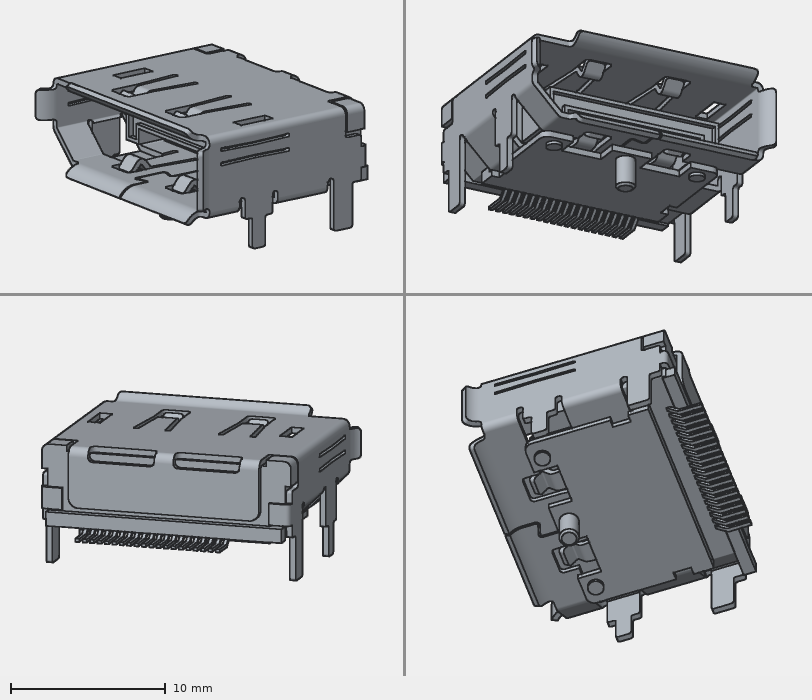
import cadquery as cq
import math


SHEET = 0.4
HALF_WIDTH = 8.45
TOP = 3.81
BOTTOM = -1.72
CORNER_CUT = 2.0
BEND_RADIUS = 0.48
FRONT_TIP = -7.65
WALL_REAR = 5.78
FLOOR_REAR = 3.06
MARGIN = 1.79

INNER_HALF_WIDTH = HALF_WIDTH - SHEET
ROOF_MID = TOP - SHEET / 2
FLOOR_MID = BOTTOM + SHEET / 2
WALL_MID = HALF_WIDTH - SHEET / 2

LIP_RISE = 0.5
LIP_ANGLE = 60.0
LIP_TIP_RADIUS = 0.29
LIP_ROOT_RADIUS = 0.25
LIP_LEFT = -5.58
LIP_RIGHT = 7.5
SIDE_LIP_TOP = 3.08
LEFT_LIP_BOTTOM = 1.04
RIGHT_LIP_BOTTOM = -0.95

LIP_INNER_RADIUS = LIP_RISE / (1 - math.cos(math.radians(LIP_ANGLE)))
LIP_REACH = (LIP_INNER_RADIUS + SHEET) * math.sin(math.radians(LIP_ANGLE))
FRONT = FRONT_TIP + LIP_REACH

SPRING_X = 2.88
SPRING_HALF_WIDTH = 0.66
SPRING_ROOT_HALF_WIDTH = 0.91
SPRING_BEND_Y = -3.18
SPRING_ANGLE = 50.0
SPRING_BEND = 0.29
SPRING_FALL = 0.59
SPRING_CLIMB = 0.8
SPRING_TIP_RADIUS = 0.23
SLOT_END = 0.18
SLOT_HALF_WIDTH = 1.27
SLOT_END_RADIUS = 0.16
WINDOW_HALF_WIDTH = 0.95
WINDOW_FRONT = -5.28
WINDOW_RADIUS = 0.27

ROOF_WINDOW_CENTRES = (-5.98, 7.01)
ROOF_WINDOW_WIDTH = 0.84
ROOF_WINDOW_FRONT = -3.15
ROOF_WINDOW_REAR = -0.6

SLIT_REAR = -0.04
SLIT_FRONT = -5.53
SLIT_WIDTH = 0.21
SLIT_LEAN = 0.05
SLIT_END_RADIUS = 0.09
UPPER_SLIT = 2.85
LOWER_SLIT = 1.86

LEG_BOTTOM = -4.33
LEG_TIP_RADIUS = 0.21
LEG_GAP = 0.43
LEFT_RELIEF_TOP = 0.5
RIGHT_RELIEF_TOP = -0.73
FRONT_LEG = (-3.6, -1.38)
FRONT_LEG_FOOT = (-3.0, -1.95)
LEG_SHOULDER = -2.22
REAR_LEG = (3.55, 5.06)
REAR_SHOULDER = -1.29
SHOULDER_RADIUS = 0.16

SEAM_X = 0.35
SEAM_WIDTH = 0.13
DOVETAIL_DEPTH = 1.11
DOVETAIL_RADIUS = 0.18
DOVETAIL_NECK = (-5.33, -3.5)
DOVETAIL_HEAD = (-5.67, -3.18)

COVER_HALF_WIDTH = 6.45
COVER_REAR = 6.62
COVER_BOTTOM = -0.16
COVER_BEND = 0.59
COVER_TIP_RADIUS = 0.66
NOTCH_INNER = 0.65
NOTCH_OUTER = 5.13
NOTCH_FRONT = 5.7
NOTCH_BOTTOM = 2.95
NOTCH_RADIUS = 0.35

TAB_TOP = 1.0
TAB_BOTTOM = -0.43
TAB_INNER = 7.01
TAB_REAR = 6.26
TAB_CORNER_RADIUS = 0.29

EAR_OPENING_FRONT = 4.5
EAR_OPENING_BOTTOM = 1.8
EAR_OPENING_RADIUS = 0.18

BLOCK_FRONT = 0.9
BLOCK_REAR = COVER_REAR - COVER_BEND
EAR_INNER = 6.76
EAR_FRONT = 4.63
EAR_BOTTOM = 2.16

TONGUE_LEFT = -5.28
TONGUE_RIGHT = 7.05
TONGUE_TOP = 2.1
TONGUE_BOTTOM = -0.3
TONGUE_TIP = -2.93
TONGUE_PLATE = 1.35
TONGUE_HOOK = 1.35
TONGUE_RIM = 0.27
TONGUE_POCKET = 0.35

FOOT_BLOCK_HALF_WIDTH = 7.98
FOOT_BLOCK_TOP = -0.55
FOOT_BLOCK_BOTTOM = -1.48

BASE_HALF_WIDTH = HALF_WIDTH - CORNER_CUT
BASE_BOTTOM = -2.15
BASE_HALF_DEPTH = 4.28
BASE_CORNER_RADIUS = 0.55
BASE_RISER_FRONT = 3.22
BASE_BAY_REAR = -2.68
BASE_BAY_INNER = 1.43
BASE_BAY_OUTER = 4.3
BASE_NOTCH = (1.68, 2.9)
BASE_NOTCH_DEPTH = 0.54

PEG_Y = -3.38
PEG_RADIUS = 0.65
PEG_BOTTOM = -4.19
PEG_CHAMFER = 0.16
PAD_X = 5.22
PAD_RADIUS = 0.52
PAD_BOTTOM = -2.36

CONTACT_COUNT = 20
CONTACT_PITCH = 0.5
CONTACT_CENTRE = 0.77
CONTACT_WIDTH = 0.27
CONTACT_THICKNESS = 0.21
CONTACT_REAR = 7.65
CONTACT_FOOT = 1.5
CONTACT_BEND = 0.15
CONTACT_ANGLE = 45.0
CONTACT_RISE = 1.11


def box(x_range, y_range, z_range):
    """Block between two limits along each axis."""
    size = [limits[1] - limits[0] for limits in (x_range, y_range, z_range)]
    corner = (x_range[0], y_range[0], z_range[0])
    return cq.Workplane("XY").box(*size, centered=False).translate(corner)


def mirrored_pair(body):
    """The body together with its mirror image across the YZ plane."""
    return body.union(body.mirror("YZ"))


def keyed_prism(inset, rear, front):
    """Rounded shell section, moved inwards by the inset, between two Y positions."""
    side = HALF_WIDTH - inset
    top = TOP - inset
    bottom = BOTTOM + inset
    cut = CORNER_CUT - inset * (2 - math.sqrt(2))
    outline = [(-side, top), (side, top), (side, bottom), (cut - side, bottom), (-side, bottom + cut)]
    prism = cq.Workplane("XZ", origin=(0, front, 0)).polyline(outline).close().extrude(front - rear)
    return prism.edges("|Y").fillet(BEND_RADIUS - inset)


def bent_strip(plane, steps, width, thickness=SHEET, tip_radius=0.0):
    """Folded strip that starts at the plane origin along its x axis.

    Each step is a straight length, then a turn of the given mid-thickness radius and angle
    (positive turns towards the plane's y axis). The width is centred on the plane.
    """
    half = thickness / 2
    x, y, heading = 0.0, 0.0, 0.0
    sides = {half: [], -half: []}

    def side_point(offset):
        return (x - offset * math.sin(heading), y + offset * math.cos(heading))

    for length, radius, angle in steps:
        x += length * math.cos(heading)
        y += length * math.sin(heading)
        if length:
            for offset, pieces in sides.items():
                pieces.append((side_point(offset),))
        if angle:
            half_turn = math.radians(angle) / 2
            chord = 2 * radius * math.sin(abs(half_turn) / 2)
            arcs = {offset: [] for offset in sides}
            for _ in range(2):
                x += chord * math.cos(heading + half_turn / 2)
                y += chord * math.sin(heading + half_turn / 2)
                heading += half_turn
                for offset, points in arcs.items():
                    points.append(side_point(offset))
            for offset, pieces in sides.items():
                pieces.append(tuple(arcs[offset]))

    outline = cq.Workplane(plane).moveTo(0, half)
    for piece in sides[half]:
        outline = outline.lineTo(*piece[0]) if len(piece) == 1 else outline.threePointArc(*piece)
    lower_ends = [(0, -half)] + [piece[-1] for piece in sides[-half]]
    outline = outline.lineTo(*lower_ends[-1])
    for piece, end in zip(reversed(sides[-half]), reversed(lower_ends[:-1])):
        outline = outline.lineTo(*end) if len(piece) == 1 else outline.threePointArc(piece[0], end)
    strip = outline.close().extrude(width / 2, both=True)
    if tip_radius:
        tip = plane.toWorldCoords((x, y, 0)).toTuple()
        tip_face = strip.faces(cq.selectors.NearestToPointSelector(tip))
        strip = tip_face.edges(cq.selectors.PerpendicularDirSelector(plane.zDir)).fillet(tip_radius)
    return strip


def sheet_plane(origin, along, outward):
    """Plane whose x axis runs along the sheet and whose y axis points out of the shell."""
    normal = cq.Vector(*along).cross(cq.Vector(*outward))
    return cq.Plane(origin=origin, xDir=along, normal=normal.toTuple())


FORWARD = (0, -1, 0)
BACKWARD = (0, 1, 0)
UP = (0, 0, 1)
DOWN = (0, 0, -1)
LEFT = (-1, 0, 0)
RIGHT = (1, 0, 0)


def lip(origin, outward, width):
    """Lip flared along an arc, with rounded webs where it leaves the front edge."""
    plane = sheet_plane(origin, FORWARD, outward)
    steps = [(0, LIP_INNER_RADIUS + SHEET / 2, LIP_ANGLE)]
    root_width = width + 2 * LIP_ROOT_RADIUS
    level = cq.Workplane(cq.Plane(origin=origin, xDir=FORWARD, normal=outward))
    root = level.center(LIP_ROOT_RADIUS / 2, 0).rect(LIP_ROOT_RADIUS, root_width).extrude(SHEET, both=True)
    for edge in (-root_width / 2, root_width / 2):
        root = root.cut(level.center(LIP_ROOT_RADIUS, edge).circle(LIP_ROOT_RADIUS).extrude(SHEET, both=True))
    webs = bent_strip(plane, steps, root_width).intersect(root)
    return bent_strip(plane, steps, width, tip_radius=LIP_TIP_RADIUS).union(webs)


def lips():
    lip_x = (LIP_LEFT + LIP_RIGHT) / 2
    lip_width = LIP_RIGHT - LIP_LEFT
    flared = lip((lip_x, FRONT, ROOF_MID), UP, lip_width)
    flared = flared.union(lip((lip_x, FRONT, FLOOR_MID), DOWN, lip_width))
    for x, outward, bottom in ((-WALL_MID, LEFT, LEFT_LIP_BOTTOM), (WALL_MID, RIGHT, RIGHT_LIP_BOTTOM)):
        height = SIDE_LIP_TOP - bottom
        flared = flared.union(lip((x, FRONT, bottom + height / 2), outward, height))
    return flared


def spring_opening(x, sheet_mid):
    """V slots and window that free one spring from the sheet."""
    outline = [
        (x - SLOT_HALF_WIDTH, SLOT_END),
        (x + SLOT_HALF_WIDTH, SLOT_END),
        (x + WINDOW_HALF_WIDTH, SPRING_BEND_Y),
        (x + WINDOW_HALF_WIDTH, WINDOW_FRONT),
        (x - WINDOW_HALF_WIDTH, WINDOW_FRONT),
        (x - WINDOW_HALF_WIDTH, SPRING_BEND_Y),
    ]
    tongue = [
        (x - SPRING_ROOT_HALF_WIDTH, SLOT_END),
        (x + SPRING_ROOT_HALF_WIDTH, SLOT_END),
        (x + SPRING_HALF_WIDTH, SPRING_BEND_Y),
        (x - SPRING_HALF_WIDTH, SPRING_BEND_Y),
    ]
    level = cq.Workplane("XY", origin=(0, 0, sheet_mid))
    opening = level.polyline(outline).close().extrude(SHEET, both=True)
    opening = opening.edges("|Z and <Y").fillet(WINDOW_RADIUS)
    opening = opening.cut(level.polyline(tongue).close().extrude(SHEET, both=True))
    return opening.edges("|Z and >Y").fillet(SLOT_END_RADIUS)


def spring(x, sheet_mid, outward):
    """Free end of a spring: it dips into the opening and climbs back."""
    plane = sheet_plane((x, SPRING_BEND_Y, sheet_mid), FORWARD, outward)
    steps = [
        (0, SPRING_BEND, -SPRING_ANGLE),
        (SPRING_FALL, SPRING_BEND, 2 * SPRING_ANGLE),
        (SPRING_CLIMB, 0, 0),
    ]
    return bent_strip(plane, steps, 2 * SPRING_HALF_WIDTH, tip_radius=SPRING_TIP_RADIUS)


def roof_windows():
    windows = cq.Workplane("XY")
    for x in ROOF_WINDOW_CENTRES:
        x_range = (x - ROOF_WINDOW_WIDTH / 2, x + ROOF_WINDOW_WIDTH / 2)
        z_range = (TOP - 2 * SHEET, TOP + SHEET)
        windows = windows.union(box(x_range, (ROOF_WINDOW_FRONT, ROOF_WINDOW_REAR), z_range))
    return windows


def wall_slit(level, lean):
    """Slit through both side walls; its middle is shifted by the lean."""
    half = SLIT_WIDTH / 2
    middle = (SLIT_FRONT + SLIT_REAR) / 2
    outline = [
        (SLIT_FRONT, level - half),
        (middle, level + lean - half),
        (SLIT_REAR, level - half),
        (SLIT_REAR, level + half),
        (middle, level + lean + half),
        (SLIT_FRONT, level + half),
    ]
    slit = cq.Workplane("YZ").polyline(outline).close().extrude(HALF_WIDTH + MARGIN, both=True)
    return slit.edges("|X and (<Y or >Y)").fillet(SLIT_END_RADIUS)


def leg_relief(side, relief_top):
    """Openings in the wall and floor around the legs of one side (-1 left, +1 right)."""
    def outside(inner):
        return tuple(sorted((side * inner, side * (HALF_WIDTH + MARGIN))))

    gap_radius = LEG_GAP / 2
    z_range = (BOTTOM - MARGIN, relief_top - gap_radius)
    front_gaps = (FRONT_LEG[0] - LEG_GAP, FRONT_LEG[1] + LEG_GAP)
    relief = box(outside(SPRING_X + WINDOW_HALF_WIDTH), front_gaps, z_range)
    relief = relief.union(box(outside(0), (FLOOR_REAR, WALL_REAR), z_range))
    gap_centres = (FRONT_LEG[0] - gap_radius, FRONT_LEG[1] + gap_radius, REAR_LEG[0] - gap_radius)
    for y in gap_centres:
        wall = cq.Workplane("YZ", origin=(side * (INNER_HALF_WIDTH - SHEET), y, z_range[1]))
        relief = relief.union(wall.circle(gap_radius).extrude(side * MARGIN))
    return relief


def round_shoulder(leg, side, y, z):
    """Round the edge that runs through the sheet at the given height and depth."""
    corner = cq.selectors.NearestToPointSelector((side * WALL_MID, y, z))
    return leg.edges(corner).fillet(SHOULDER_RADIUS)


def legs(side, relief_top):
    """Front and rear board legs of one side."""
    wall = cq.Workplane("YZ", origin=(side * INNER_HALF_WIDTH, 0, 0))
    front_outline = [
        (FRONT_LEG[0], relief_top),
        (FRONT_LEG[1], relief_top),
        (FRONT_LEG[1], LEG_SHOULDER),
        (FRONT_LEG_FOOT[1], LEG_SHOULDER),
        (FRONT_LEG_FOOT[1], LEG_BOTTOM),
        (FRONT_LEG_FOOT[0], LEG_BOTTOM),
        (FRONT_LEG_FOOT[0], LEG_SHOULDER),
        (FRONT_LEG[0], LEG_SHOULDER),
    ]
    rear_outline = [
        (REAR_LEG[0], relief_top),
        (WALL_REAR, relief_top),
        (WALL_REAR, REAR_SHOULDER),
        (REAR_LEG[1], REAR_SHOULDER),
        (REAR_LEG[1], LEG_BOTTOM),
        (REAR_LEG[0], LEG_BOTTOM),
    ]
    front_leg = wall.polyline(front_outline).close().extrude(side * SHEET)
    front_leg = front_leg.edges("|X and <Z").fillet(LEG_TIP_RADIUS)
    for y in (*FRONT_LEG, *FRONT_LEG_FOOT):
        front_leg = round_shoulder(front_leg, side, y, LEG_SHOULDER)
    rear_leg = wall.polyline(rear_outline).close().extrude(side * SHEET)
    rear_leg = rear_leg.edges("|X and <Z").fillet(LEG_TIP_RADIUS)
    for y in (WALL_REAR, REAR_LEG[1]):
        rear_leg = round_shoulder(rear_leg, side, y, REAR_SHOULDER)
    return front_leg.union(rear_leg)


def floor_seam():
    """Thin joint in the floor where the two folded halves interlock."""
    head_x = SEAM_X - DOVETAIL_DEPTH
    path = [
        (SEAM_X, FRONT_TIP - MARGIN),
        (SEAM_X, DOVETAIL_NECK[0]),
        (head_x, DOVETAIL_HEAD[0]),
        (head_x, DOVETAIL_HEAD[1]),
        (SEAM_X, DOVETAIL_NECK[1]),
        (SEAM_X, FLOOR_REAR + MARGIN),
    ]
    level = cq.Workplane("XY", origin=(0, 0, BOTTOM - MARGIN))
    joint = level.polyline(path).wire().val()
    joint = joint.fillet(DOVETAIL_RADIUS, joint.Vertices()[1:-1])
    seam = cq.Workplane("XY").add(joint).toPending()
    return seam.offset2D(SEAM_WIDTH / 2).extrude(MARGIN + 2 * SHEET)


def rear_cover():
    """Plate folded down from the roof, with notches along the fold."""
    fold = COVER_BEND - SHEET / 2
    fold_start = COVER_REAR - COVER_BEND
    plane = sheet_plane((0, WALL_REAR, ROOF_MID), BACKWARD, UP)
    steps = [(fold_start - WALL_REAR, fold, -90), (TOP - COVER_BEND - COVER_BOTTOM, 0, 0)]
    return bent_strip(plane, steps, 2 * COVER_HALF_WIDTH, tip_radius=COVER_TIP_RADIUS)


def cover_notches():
    notch = box((NOTCH_INNER, NOTCH_OUTER), (NOTCH_FRONT, COVER_REAR + MARGIN), (NOTCH_BOTTOM, TOP + MARGIN))
    notch = notch.edges("|Z and <Y").fillet(NOTCH_RADIUS)
    notch = notch.edges("|Y and <Z").fillet(NOTCH_RADIUS)
    return mirrored_pair(notch)


def wall_tabs():
    """Tabs that turn inwards from the rear edges of the side walls."""
    z_range = (TAB_BOTTOM, TAB_TOP)
    tab = box((TAB_INNER, HALF_WIDTH), (TAB_REAR - SHEET, TAB_REAR), z_range)
    tab = tab.union(box((INNER_HALF_WIDTH, HALF_WIDTH), (WALL_REAR, TAB_REAR), z_range))
    return mirrored_pair(tab.edges("|Z and >X and >Y").fillet(TAB_CORNER_RADIUS))


def ear_openings():
    opening = box(
        (COVER_HALF_WIDTH, HALF_WIDTH + MARGIN),
        (EAR_OPENING_FRONT, WALL_REAR + MARGIN),
        (EAR_OPENING_BOTTOM, TOP + MARGIN),
    )
    opening = opening.edges("|Z and <X and <Y").fillet(EAR_OPENING_RADIUS)
    return mirrored_pair(opening.edges("|X and <Z and <Y").fillet(EAR_OPENING_RADIUS))


def build_shell():
    shell = keyed_prism(0, WALL_REAR, FRONT)
    shell = shell.cut(keyed_prism(SHEET, WALL_REAR, FRONT))
    shell = shell.union(lips())
    shell = shell.cut(ear_openings())
    for x in (-WALL_MID, WALL_MID):
        wall_corner = cq.selectors.NearestToPointSelector((x, WALL_REAR, EAR_OPENING_BOTTOM))
        shell = shell.edges(wall_corner).fillet(EAR_OPENING_RADIUS)
    shell = shell.cut(roof_windows())
    shell = shell.cut(wall_slit(UPPER_SLIT, -SLIT_LEAN))
    shell = shell.cut(wall_slit(LOWER_SLIT, SLIT_LEAN))
    for side, relief_top in ((-1, LEFT_RELIEF_TOP), (1, RIGHT_RELIEF_TOP)):
        shell = shell.cut(leg_relief(side, relief_top))
        shell = shell.union(legs(side, relief_top))
    shell = shell.cut(floor_seam())
    for x in (-SPRING_X, SPRING_X):
        for sheet_mid, outward in ((ROOF_MID, UP), (FLOOR_MID, DOWN)):
            shell = shell.cut(spring_opening(x, sheet_mid))
            shell = shell.union(spring(x, sheet_mid, outward))
    shell = shell.union(rear_cover()).cut(cover_notches())
    return shell.union(wall_tabs())


def housing_block():
    """Moulded block filling the rear of the shell, with recesses for the wall tabs."""
    block = keyed_prism(SHEET, BLOCK_REAR, BLOCK_FRONT)
    recess = box((TAB_INNER, HALF_WIDTH), (TAB_REAR - SHEET, BLOCK_REAR), (TAB_BOTTOM, TAB_TOP))
    return block.cut(mirrored_pair(recess))


def ears():
    """Corner ears that come flush with the outside of the shell."""
    ear = box((EAR_INNER, HALF_WIDTH), (EAR_FRONT, BLOCK_REAR), (EAR_BOTTOM, TOP))
    return mirrored_pair(ear.edges("|Y and >X and >Z").fillet(BEND_RADIUS))


def tongue_section(inset):
    """Contact tongue outline: a flat plate with downturned ends."""
    left = TONGUE_LEFT + inset
    right = TONGUE_RIGHT - inset
    top = TONGUE_TOP - inset
    bottom = TONGUE_BOTTOM + inset
    hook = TONGUE_HOOK - 2 * inset
    under = TONGUE_TOP - TONGUE_PLATE + inset
    return [
        (left, top),
        (right, top),
        (right, bottom),
        (right - hook, bottom),
        (right - hook, under),
        (left + hook, under),
        (left + hook, bottom),
        (left, bottom),
    ]


def tongue():
    tip = cq.Workplane("XZ", origin=(0, TONGUE_TIP, 0))
    body = tip.polyline(tongue_section(0)).close().extrude(TONGUE_TIP - BLOCK_FRONT)
    pocket = tip.polyline(tongue_section(TONGUE_RIM)).close().extrude(-TONGUE_POCKET)
    return body.cut(pocket)


def base():
    """Plate under the shell floor, joined to the block behind the floor."""
    x_range = (-BASE_HALF_WIDTH, BASE_HALF_WIDTH)
    z_range = (BASE_BOTTOM, BOTTOM)
    plate = box(x_range, (-BASE_HALF_DEPTH, BASE_HALF_DEPTH), z_range)
    plate = plate.edges("|Z and <Y").fillet(BASE_CORNER_RADIUS)
    bay = box((BASE_BAY_INNER, BASE_BAY_OUTER), (-BASE_HALF_DEPTH, BASE_BAY_REAR), z_range)
    notch = box((BASE_HALF_WIDTH - BASE_NOTCH_DEPTH, BASE_HALF_WIDTH), BASE_NOTCH, z_range)
    plate = plate.cut(mirrored_pair(bay)).cut(mirrored_pair(notch))
    riser = box(x_range, (BASE_RISER_FRONT, BASE_HALF_DEPTH), (BASE_BOTTOM, BOTTOM + SHEET))
    return plate.union(riser)


def peg_and_pads():
    """Locating peg and two stand-off pads under the base."""
    under = cq.Workplane("XY", origin=(0, PEG_Y, BOTTOM))
    peg = under.circle(PEG_RADIUS).extrude(PEG_BOTTOM - BOTTOM)
    peg = peg.faces("<Z").chamfer(PEG_CHAMFER)
    pads = under.pushPoints([(-PAD_X, 0), (PAD_X, 0)]).circle(PAD_RADIUS).extrude(PAD_BOTTOM - BOTTOM)
    return peg.union(pads)


def contact_tail(x):
    """Solder tail: flat foot, then a slope up into the block."""
    plane = sheet_plane((x, CONTACT_REAR, BASE_BOTTOM + CONTACT_THICKNESS / 2), FORWARD, UP)
    steps = [(CONTACT_FOOT, CONTACT_BEND, CONTACT_ANGLE), (CONTACT_RISE, 0, 0)]
    return bent_strip(plane, steps, CONTACT_WIDTH, thickness=CONTACT_THICKNESS)


def build_housing():
    housing = housing_block().union(ears()).union(tongue())
    foot_block = box(
        (-FOOT_BLOCK_HALF_WIDTH, FOOT_BLOCK_HALF_WIDTH),
        (WALL_REAR, COVER_REAR),
        (FOOT_BLOCK_BOTTOM, FOOT_BLOCK_TOP),
    )
    housing = housing.union(foot_block).union(base()).union(peg_and_pads())
    for index in range(CONTACT_COUNT):
        x = CONTACT_CENTRE + (index - (CONTACT_COUNT - 1) / 2) * CONTACT_PITCH
        housing = housing.union(contact_tail(x))
    return housing


shell = build_shell()
housing = build_housing()

result = cq.Compound.makeCompound([shell.solids().val(), housing.solids().val()])